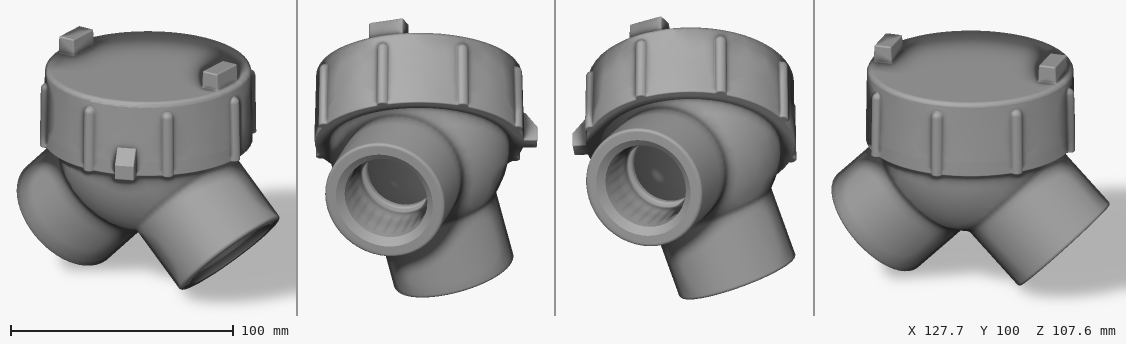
import cadquery as cq
import math

CAP_HEIGHT = 34.9
CAP_RIM_RADIUS = 47.0
CAP_RIM_HEIGHT = 6.8
CAP_SHOULDER_RADIUS = 46.3
CAP_TOP_ROUND = 2.3
CAP_LID_THICKNESS = 6.4
CAP_BOTTOM_ROUND = 0.5
SEAM_ANGLE = 10

RIB_COUNT = 8
RIB_RADIUS = 2.5
RIB_REACH = 49.5
RIB_BALL_HEIGHT = 27.6
RIB_LEAN = 1.0
RIB_FILLET = 0.6

LUG_OFFSET = 39.0
LUG_TOP_X = 7.9
LUG_BASE_X = 8.7
LUG_Y = 16.4
LUG_HEIGHT = 7.9
LUG_ROUND = 0.8
LUG_FILLET = 0.6

TAB_ANGLE = -67.5
TAB_WIDTH = 8.7
TAB_REACH = 53.0
TAB_HEIGHT = 13.4
TAB_TOP_REACH = 47.6
TAB_ROOT_DEPTH = 2.5
TAB_ROUND = 0.4
TAB_FILLET = 0.4

NECK_RADIUS = 81.3 / 2
CAVITY_RADIUS = 70.6 / 2
BOWL_CENTRE_Z = -0.9

HUB_ANGLE = 45
HUB_END = 63.4
HUB_RADIUS = 55.5 / 2
HUB_ROUND = 1.4
HUB_FILLET = 3.2
HUB_SEAM_ANGLE = 90

MOUTH_RADIUS = 22.5
BORE_START_RADIUS = 19.2
BORE_START_DEPTH = 3.1
BORE_END_RADIUS = 18.2
BORE_END_DEPTH = 27.4
THROAT_RADIUS = 15.7
THROAT_DEPTH = 30.2
BORE_INNER_DEPTH = 40.9

NECK_TOP = CAP_HEIGHT - CAP_LID_THICKNESS
EDGE_TOLERANCE = 0.1


def cap_shell():
    """Solid, drafted cap without its bore."""
    shell = (
        cq.Workplane("XZ")
        .lineTo(CAP_RIM_RADIUS, 0)
        .lineTo(CAP_RIM_RADIUS, CAP_RIM_HEIGHT)
        .lineTo(CAP_SHOULDER_RADIUS, CAP_HEIGHT)
        .lineTo(0, CAP_HEIGHT)
        .close()
        .revolve(360, (0, 0), (0, 1))
    )
    shell = shell.faces(">Z").edges().fillet(CAP_TOP_ROUND)
    return shell.rotate((0, 0, 0), (0, 0, 1), SEAM_ANGLE)


def rib():
    """One grip rib on the +X side, cut off flat at Z = 0; its seam faces the cap axis."""
    diagonal = RIB_RADIUS * math.sqrt(0.5)
    bar = (
        cq.Workplane("XZ")
        .moveTo(0, -RIB_RADIUS)
        .lineTo(-RIB_RADIUS, -RIB_RADIUS)
        .lineTo(-RIB_RADIUS, RIB_BALL_HEIGHT)
        .threePointArc((-diagonal, RIB_BALL_HEIGHT + diagonal), (0, RIB_BALL_HEIGHT + RIB_RADIUS))
        .close()
        .revolve(360, (0, 0), (0, 1))
        .rotate((0, 0, 0), (0, 1, 0), -RIB_LEAN)
        .translate((RIB_REACH - RIB_RADIUS, 0, 0))
    )
    return bar.intersect(cq.Workplane("XY").circle(2 * CAP_RIM_RADIUS).extrude(CAP_HEIGHT))


def lock_tab():
    """Block at the rim whose outer face slopes in to the cap wall, with rounded outer sides."""
    root = CAP_SHOULDER_RADIUS - TAB_ROOT_DEPTH
    tab = (
        cq.Workplane("XZ")
        .moveTo(root, 0)
        .lineTo(TAB_REACH, 0)
        .lineTo(TAB_REACH, CAP_RIM_HEIGHT)
        .lineTo(TAB_TOP_REACH, TAB_HEIGHT)
        .lineTo(root, TAB_HEIGHT)
        .close()
        .extrude(TAB_WIDTH / 2, both=True)
    )
    outer_zone = cq.selectors.BoxSelector(
        (TAB_TOP_REACH, -TAB_WIDTH, 0), (2 * TAB_REACH, TAB_WIDTH, TAB_HEIGHT)
    )
    outer_sides = tab.edges(outer_zone).edges("not |Y").edges("not #Z")
    return outer_sides.fillet(TAB_ROUND).rotate((0, 0, 0), (0, 0, 1), TAB_ANGLE)


def lug():
    """One wrench lug on the lid, narrowing upwards in X."""
    return (
        cq.Workplane("XY", origin=(0, 0, CAP_HEIGHT))
        .rect(LUG_BASE_X, LUG_Y)
        .workplane(offset=LUG_HEIGHT)
        .rect(LUG_TOP_X, LUG_Y)
        .loft(ruled=True)
        .edges("not <Z")
        .fillet(LUG_ROUND)
    )


def is_rib_root(edge):
    """True for the free-form edges where the ribs meet the cap wall, all below the top rounding."""
    return edge.geomType() == "BSPLINE" and edge.Center().z < CAP_HEIGHT - CAP_TOP_ROUND


def is_tab_root(edge):
    """True for the upright edges where the sides of the tab meet the cap wall."""
    middle = edge.Center()
    on_wall = abs(math.hypot(middle.x, middle.y) - CAP_RIM_RADIUS) < EDGE_TOLERANCE
    upright = middle.z > CAP_BOTTOM_ROUND and edge.BoundingBox().zlen > TAB_HEIGHT / 3
    return on_wall and upright and edge.geomType() in ("LINE", "HYPERBOLA")


def is_lug_root(edge):
    """True for the edges where the lugs meet the lid, but not for the round edge of the lid."""
    box = edge.BoundingBox()
    at_lid = abs(box.zmin - CAP_HEIGHT) < EDGE_TOLERANCE and box.zlen < EDGE_TOLERANCE
    return at_lid and box.ylen < CAP_RIM_RADIUS


def make_cap():
    cap = cap_shell()
    for side in (-1, 1):
        cap = cap.union(lug().translate((side * LUG_OFFSET, 0, 0)))
    cap = cap.edges().filter(is_lug_root).fillet(LUG_FILLET)

    for i in range(RIB_COUNT):
        cap = cap.union(rib().rotate((0, 0, 0), (0, 0, 1), i * 360 / RIB_COUNT))
    cap = cap.edges().filter(is_rib_root).fillet(RIB_FILLET)

    cap = cap.union(lock_tab())
    cap = cap.edges().filter(is_tab_root).fillet(TAB_FILLET)
    cap = cap.faces("<Z").edges().fillet(CAP_BOTTOM_ROUND)

    bore = cq.Workplane("XY").circle(NECK_RADIUS).extrude(NECK_TOP)
    return cap.cut(bore)


def tilt(shape, side):
    """Turn a shape built along +Z about the origin onto the hub axis on the given X side."""
    turned = shape.rotate((0, 0, 0), (0, 0, 1), HUB_SEAM_ANGLE)
    turned = turned.rotate((0, 0, 0), (0, 1, 0), side * (180 - HUB_ANGLE))
    return turned.translate((0, 0, BOWL_CENTRE_Z))


def neck_and_bowl(radius):
    """Half-ball about the bowl centre, continued straight up to the top of the neck."""
    height = NECK_TOP - BOWL_CENTRE_Z
    diagonal = radius * math.sqrt(0.5)
    return (
        cq.Workplane("XZ", origin=(0, 0, BOWL_CENTRE_Z))
        .moveTo(0, -radius)
        .threePointArc((diagonal, -diagonal), (radius, 0))
        .lineTo(radius, height)
        .lineTo(0, height)
        .close()
        .revolve(360, (0, 0), (0, 1))
        .rotate((0, 0, 0), (0, 0, 1), 90)
    )


def hub():
    """Hub with a rounded outer end and a hollow flare that runs tangent into the bowl."""
    flare_x = HUB_RADIUS + HUB_FILLET
    flare_z = math.sqrt((NECK_RADIUS + HUB_FILLET) ** 2 - flare_x ** 2)
    to_bowl = NECK_RADIUS / (NECK_RADIUS + HUB_FILLET)
    bowl_contact = (flare_x * to_bowl, flare_z * to_bowl)
    mid_angle = math.pi + math.atan2(flare_z, flare_x) / 2
    flare_mid = (
        flare_x + HUB_FILLET * math.cos(mid_angle),
        flare_z + HUB_FILLET * math.sin(mid_angle),
    )
    return (
        cq.Workplane("XZ")
        .moveTo(0, bowl_contact[1])
        .lineTo(*bowl_contact)
        .threePointArc(flare_mid, (HUB_RADIUS, flare_z))
        .lineTo(HUB_RADIUS, HUB_END)
        .lineTo(0, HUB_END)
        .close()
        .revolve(360, (0, 0), (0, 1))
        .faces(">Z")
        .edges()
        .fillet(HUB_ROUND)
    )


def hub_bore():
    """Space removed from a hub: mouth chamfer, tapered bore, S-shaped shoulder and throat."""
    shoulder_mid = (
        (BORE_END_RADIUS + THROAT_RADIUS) / 2,
        HUB_END - (BORE_END_DEPTH + THROAT_DEPTH) / 2,
    )
    return (
        cq.Workplane("XZ")
        .moveTo(0, HUB_END)
        .lineTo(MOUTH_RADIUS, HUB_END)
        .lineTo(BORE_START_RADIUS, HUB_END - BORE_START_DEPTH)
        .lineTo(BORE_END_RADIUS, HUB_END - BORE_END_DEPTH)
        .tangentArcPoint(shoulder_mid, relative=False)
        .tangentArcPoint((THROAT_RADIUS, HUB_END - THROAT_DEPTH), relative=False)
        .lineTo(THROAT_RADIUS, HUB_END - BORE_INNER_DEPTH)
        .lineTo(0, HUB_END - BORE_INNER_DEPTH)
        .close()
        .revolve(360, (0, 0), (0, 1))
    )


def make_body():
    body = neck_and_bowl(NECK_RADIUS)
    for side in (-1, 1):
        body = body.union(tilt(hub(), side))
    body = body.cut(neck_and_bowl(CAVITY_RADIUS))
    for side in (-1, 1):
        body = body.cut(tilt(hub_bore(), side))
    return body


cap = make_cap()
body = make_body()
result = cq.Compound.makeCompound([cap.val(), body.val()])